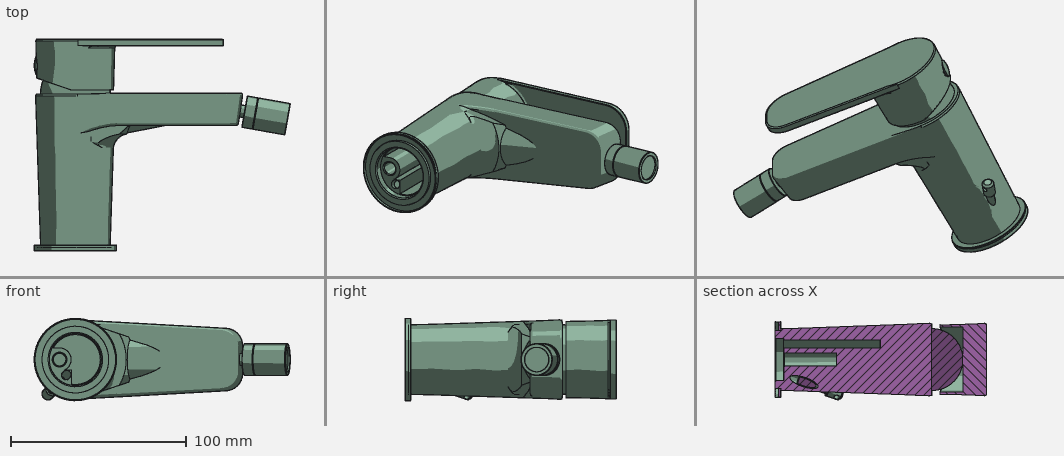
import cadquery as cq
import math


total_height = 120.6
reach = 122.45

ring_radius = 46.96 / 2
ring_height = 3.4
ring_edge = 0.3
spigot_radius = 19.0
ring_lip_radius = 22.9
ring_recess_depth = 2.0

column_base_radius = 19.9
column_top_radius = 22.7
column_top = 89.4
column_edge_height = 1.2
column_edge_inset = 0.4

spout_top = 89.9
spout_bottom = 71.4
spout_end = 95.5
spout_blank_half_width = 16.8
spout_end_tilt = 8.5
spout_corner_radius = 10.0
spout_top_edge = 1.2
spout_bottom_edge = 1.5
ramp_start = 6.0
ramp_end = 20.0
underside_root = (0.0, 64.3)
underside_mid = (11.0, 69.2)
underside_flat_x = 24.0

fillet_bottom = 57.5
fillet_outer_radius = 29.0
fillet_top = 66.5
web_outer_radius = 33.0
fillet_mid = (23.4, 63.0)
web_root_half_width = 20.0
web_root_x = 9.0
web_end_half_width = 12.0
web_corner_radius = 6.0
tongue_radius = 18.0
tongue_slope = 11.0
tongue_tip = 51.3

inlet_radius = 15.5
bore_radius = 14.8
bore_depth = 5.0
pocket_radius = 14.2
pocket_depth = 55.0
inlet_boss_x = -9.0
inlet_boss_radius = 6.6
inlet_hole_diameter = 7.2
inlet_hole_depth = 30.0
inlet_hole_chamfer = 0.6
lug_edge_x = -2.2
lug_edge_z = -6.0

dome_radius = 20.0
dome_top = 107.0

lever_top_radius = 22.6
lever_bottom_radius = 21.8
lever_bottom = 91.7
lever_back_bottom = 98.3
lever_cut_x = -2.4
lever_cavity_radius = 20.5
lever_edge_height = 1.1
lever_edge_inset = 0.4
blade_thickness = 3.9
blade_end = 84.5
blade_end_half_width = 17.3
blade_corner_radius = 14.0
blade_edge = 0.4
blade_web_radius = 1.0
blade_web_inset = 1.0

button_diameter = 10.0
button_height = 105.6
button_inner_x = -21.0
button_rim_x = -22.5
button_crown_x = -ring_radius

aerator_diameter = 18.2
aerator_tilt = 10.0
aerator_length = 25.0
collar_length = 6.3
aerator_edge = 0.3
nozzle_end_y = 75.0
nozzle_recess_diameter = 14.0
nozzle_recess_depth = 1.0
joint_diameter = 7.0
joint_socket_depth = 5.0
joint_gap = 2.5

rod_tip = (-16.2, 38.0, -20.2)
rod_direction = cq.Vector(-0.335, 1.0, -0.345)
rod_head_diameter = 6.8
rod_head_length = 9.0
rod_shaft_diameter = 4.5
rod_shaft_length = 18.0
rod_hole_diameter = 5.0
rod_tip_chamfer = 1.2
rod_eye_diameter = 3.0
rod_eye_offset = 3.2
rod_guide_length = 45.0

clearance_length = 60.0


def disc(radius, bottom, top, x=0.0):
    """Cylinder about an axis parallel to Y."""
    plane = cq.Workplane("XZ", origin=(x, bottom, 0))
    return plane.circle(radius).extrude(bottom - top)


def plan_plate(start_radius, end_x, end_half_width, bottom, top, draft=0.0):
    """Tapered plate whose sides leave a circle about the Y axis as tangents.

    The plan is true at the top; a draft narrows it toward the bottom.
    """
    distance = math.hypot(end_x, end_half_width)
    tangent_angle = math.atan2(end_half_width, end_x) + math.acos(start_radius / distance)
    start_x = start_radius * math.cos(tangent_angle)
    start_z = start_radius * math.sin(tangent_angle)
    return (
        cq.Workplane("XZ", origin=(0, top, 0))
        .moveTo(start_x, -start_z)
        .lineTo(end_x, -end_half_width)
        .lineTo(end_x, end_half_width)
        .lineTo(start_x, start_z)
        .close()
        .extrude(top - bottom, taper=draft)
    )


def make_base_ring():
    ring = disc(ring_radius, 0, ring_height).faces("<Y or >Y").edges().chamfer(ring_edge)
    recess = disc(ring_lip_radius, 0, ring_recess_depth)
    return ring.cut(recess).cut(disc(spigot_radius, 0, ring_height))


tilt = math.radians(aerator_tilt)
aerator_direction = cq.Vector(math.cos(tilt), -math.sin(tilt), 0)
nozzle_end_x = reach - (aerator_diameter / 2 - aerator_edge) * math.sin(tilt)
nozzle_end = cq.Vector(nozzle_end_x, nozzle_end_y, 0)
aerator_start = nozzle_end - aerator_direction * aerator_length


def aerator_cylinder(diameter, start, length):
    """Cylinder on the aerator axis; start is measured from the collar's rear face."""
    origin = aerator_start + aerator_direction * start
    plane = cq.Plane(origin=origin, xDir=(0, 0, 1), normal=aerator_direction)
    return cq.Workplane(plane).circle(diameter / 2).extrude(length)


def make_joint():
    length = 2 * joint_socket_depth + joint_gap
    return aerator_cylinder(joint_diameter, -joint_gap - joint_socket_depth, length)


def make_collar(joint):
    collar = aerator_cylinder(aerator_diameter, 0, collar_length).edges().chamfer(aerator_edge)
    return collar.cut(joint)


def make_nozzle():
    length = aerator_length - collar_length
    nozzle = aerator_cylinder(aerator_diameter, collar_length, length).edges().chamfer(aerator_edge)
    recess_start = aerator_length - nozzle_recess_depth
    return nozzle.cut(aerator_cylinder(nozzle_recess_diameter, recess_start, nozzle_recess_depth))


def rod_cylinder(diameter, length, start=0.0):
    """Cylinder on the rod axis; start is measured from the tip into the column."""
    inward = rod_direction.normalized() * -1
    plane = cq.Plane(origin=cq.Vector(*rod_tip) + inward * start, xDir=(1, 0, -1), normal=inward)
    return cq.Workplane(plane).circle(diameter / 2).extrude(length)


def make_rod():
    inward = rod_direction.normalized() * -1
    head = rod_cylinder(rod_head_diameter, rod_head_length)
    head = head.edges(cq.selectors.NearestToPointSelector(rod_tip)).chamfer(rod_tip_chamfer)
    shaft = rod_cylinder(rod_shaft_diameter, rod_shaft_length, rod_head_length)
    eye_center = cq.Vector(*rod_tip) + inward * rod_eye_offset
    eye_axis = inward.cross(cq.Vector(0, 1, 0)).normalized()
    eye_plane = cq.Plane(origin=eye_center, xDir=inward, normal=eye_axis)
    eye = cq.Workplane(eye_plane).circle(rod_eye_diameter / 2).extrude(rod_head_diameter, both=True)
    return head.union(shaft).cut(eye)


def make_column():
    return (
        cq.Workplane("XY")
        .lineTo(spigot_radius, 0)
        .lineTo(spigot_radius, ring_height)
        .lineTo(column_base_radius, ring_height)
        .lineTo(column_top_radius, column_top - column_edge_height)
        .lineTo(column_top_radius - column_edge_inset, column_top)
        .lineTo(0, column_top)
        .close()
        .revolve(360, (0, 0, 0), (0, 1, 0))
    )


def make_spout():
    draft = math.degrees(math.atan2(column_top_radius - column_base_radius, column_top - ring_height))
    plate = plan_plate(
        column_top_radius, spout_end + spout_corner_radius, spout_blank_half_width,
        underside_root[1], spout_top, draft,
    )
    end_bottom = spout_end - (spout_top - spout_bottom) * math.tan(math.radians(spout_end_tilt))
    side_profile = (
        cq.Workplane("XY")
        .moveTo(*underside_root)
        .threePointArc(underside_mid, (underside_flat_x, spout_bottom))
        .lineTo(end_bottom, spout_bottom)
        .lineTo(spout_end, spout_top)
        .lineTo(0, spout_top)
        .close()
        .extrude(clearance_length, both=True)
    )
    spout = plate.intersect(side_profile)
    corners = cq.selectors.BoxSelector(
        (end_bottom - 1, spout_bottom + 1, -clearance_length),
        (spout_end + 1, spout_top - 1, -1),
    ) + cq.selectors.BoxSelector(
        (end_bottom - 1, spout_bottom + 1, 1),
        (spout_end + 1, spout_top - 1, clearance_length),
    )
    spout = spout.edges(corners).fillet(spout_corner_radius)
    spout = spout.faces(cq.selectors.NearestToPointSelector((reach / 2, spout_bottom, 0)))
    spout = spout.edges("not <X").fillet(spout_bottom_edge)
    spout = spout.faces(">Y").edges("not <X").fillet(spout_top_edge)
    above_ramp = (
        cq.Workplane("XY")
        .moveTo(0, column_top)
        .lineTo(ramp_start, column_top)
        .lineTo(ramp_end, spout_top)
        .lineTo(0, spout_top)
        .close()
        .extrude(clearance_length, both=True)
    )
    return spout.cut(above_ramp)


def make_web():
    """Concave web round the column and the tongue that fades into the spout."""
    start_radius = column_base_radius + (column_top_radius - column_base_radius) * (
        fillet_bottom - ring_height
    ) / (column_top - ring_height)
    ring = (
        cq.Workplane("XY")
        .moveTo(0, fillet_bottom)
        .lineTo(start_radius, fillet_bottom)
        .threePointArc(fillet_mid, (fillet_outer_radius, fillet_top))
        .lineTo(web_outer_radius, spout_bottom)
        .lineTo(web_outer_radius, spout_bottom + spout_bottom_edge)
        .lineTo(0, spout_bottom + spout_bottom_edge)
        .close()
        .revolve(360, (0, 0, 0), (0, 1, 0))
    )
    slope = math.radians(tongue_slope)
    direction = cq.Vector(-math.cos(slope), -math.sin(slope), 0)
    axis_start = cq.Vector(tongue_tip, spout_bottom, 0)
    axis_start += cq.Vector(-math.sin(slope), math.cos(slope), 0) * tongue_radius
    tongue_plane = cq.Plane(origin=axis_start, xDir=(0, 0, 1), normal=direction)
    tongue = cq.Workplane(tongue_plane).circle(tongue_radius).extrude(tongue_tip)
    footprint = (
        cq.Workplane("XZ", origin=(0, fillet_bottom, 0))
        .moveTo(0, -web_root_half_width)
        .lineTo(web_root_x, -web_root_half_width)
        .lineTo(web_outer_radius, -web_end_half_width)
        .lineTo(web_outer_radius, web_end_half_width)
        .lineTo(web_root_x, web_root_half_width)
        .lineTo(0, web_root_half_width)
        .close()
        .extrude(fillet_bottom - spout_bottom - spout_bottom_edge)
    )
    footprint = footprint.faces("<Y").edges("not (<X or >X)").fillet(web_corner_radius)
    below_top = cq.Workplane("XZ", origin=(0, spout_bottom + spout_bottom_edge, 0))
    below_top = below_top.rect(2 * tongue_tip, 2 * tongue_radius).extrude(clearance_length)
    return ring.intersect(footprint).union(tongue.intersect(below_top))


def make_pocket():
    """Deep pocket in the column that leaves the inlet boss and the rod lug standing."""
    floor = bore_depth + pocket_depth
    pocket = disc(pocket_radius, bore_depth, floor)
    boss = disc(inlet_boss_radius, bore_depth, floor, inlet_boss_x)
    boss_bridge = make_lug(inlet_boss_x, inlet_boss_radius)
    lug = make_lug(lug_edge_x, lug_edge_z)
    return pocket.cut(boss).cut(boss_bridge).cut(lug)


def make_lug(edge_x, edge_z):
    """Block filling the pocket on the -X, -Z side of an edge in X and in Z."""
    return (
        cq.Workplane("XZ", origin=(0, bore_depth, 0))
        .moveTo(edge_x, edge_z)
        .lineTo(-pocket_radius, edge_z)
        .lineTo(-pocket_radius, -pocket_radius)
        .lineTo(edge_x, -pocket_radius)
        .close()
        .extrude(-pocket_depth)
    )


def make_body(joint):
    body = make_column().union(make_spout()).union(make_web())
    body = body.cut(disc(dome_radius, column_top, total_height))
    bore = disc(bore_radius, 0, bore_depth)
    lead_in = inlet_radius - bore_radius
    entry = disc(inlet_radius, 0, lead_in).faces(">Y").edges().chamfer(lead_in * 0.99)
    body = body.cut(bore).cut(entry).cut(make_pocket())
    hole_radius = inlet_hole_diameter / 2
    body = body.cut(disc(hole_radius, bore_depth, bore_depth + inlet_hole_depth, inlet_boss_x))
    mouth = cq.Solid.makeCone(
        hole_radius + inlet_hole_chamfer, hole_radius, inlet_hole_chamfer,
        pnt=(inlet_boss_x, bore_depth, 0), dir=(0, 1, 0),
    )
    body = body.cut(cq.Workplane(mouth))
    return body.cut(rod_cylinder(rod_hole_diameter, rod_guide_length)).cut(joint)


def make_dome():
    top_radius = math.sqrt(dome_radius**2 - (dome_top - column_top) ** 2)
    mid_angle = math.asin((dome_top - column_top) / dome_radius) / 2
    arc_middle = (
        dome_radius * math.cos(mid_angle),
        column_top + dome_radius * math.sin(mid_angle),
    )
    return (
        cq.Workplane("XY")
        .moveTo(0, column_top)
        .lineTo(dome_radius, column_top)
        .threePointArc(arc_middle, (top_radius, dome_top))
        .lineTo(0, dome_top)
        .close()
        .revolve(360, (0, 0, 0), (0, 1, 0))
    )


def crown_radius():
    """Radius of the shallow sphere on the outer face of the button."""
    rise = button_rim_x - button_crown_x
    return ((button_diameter / 2) ** 2 + rise**2) / (2 * rise)


def make_button():
    radius = button_diameter / 2
    return (
        cq.Workplane("XY", origin=(0, button_height, 0))
        .moveTo(button_inner_x, 0)
        .lineTo(button_inner_x, radius)
        .lineTo(button_rim_x, radius)
        .radiusArc((button_crown_x, 0), -crown_radius())
        .close()
        .revolve(360, (0, 0, 0), (1, 0, 0))
    )


def make_lever(button):
    head = (
        cq.Workplane("XY")
        .moveTo(0, lever_bottom)
        .lineTo(lever_bottom_radius, lever_bottom)
        .lineTo(lever_top_radius, total_height - lever_edge_height)
        .lineTo(lever_top_radius - lever_edge_inset, total_height)
        .lineTo(0, total_height)
        .close()
        .revolve(360, (0, 0, 0), (0, 1, 0))
    )
    blade_bottom = total_height - blade_thickness
    blade = plan_plate(lever_top_radius, blade_end, blade_end_half_width, blade_bottom, total_height)
    blade = blade.edges("|Y and >X").fillet(blade_corner_radius)
    blade = blade.faces("<Y").edges("not <X").chamfer(blade_edge)
    blade = blade.faces(">Y").edges("not <X").chamfer(lever_edge_inset, lever_edge_height)
    web_bottom = blade_bottom - blade_web_radius
    web_outer = lever_top_radius + blade_web_radius
    web = (
        cq.Workplane("XY")
        .moveTo(0, web_bottom)
        .lineTo(lever_top_radius, web_bottom)
        .radiusArc((web_outer, blade_bottom), blade_web_radius)
        .lineTo(web_outer, blade_bottom + blade_web_radius)
        .lineTo(0, blade_bottom + blade_web_radius)
        .close()
        .revolve(360, (0, 0, 0), (0, 1, 0))
    )
    web_outline = plan_plate(
        lever_top_radius - blade_web_inset, blade_end, blade_end_half_width, web_bottom, total_height
    )
    lever = head.union(blade).union(web.intersect(web_outline))
    back_relief = (
        cq.Workplane("XY")
        .moveTo(lever_cut_x, lever_bottom)
        .lineTo(-lever_bottom_radius, lever_back_bottom)
        .lineTo(-clearance_length, lever_back_bottom)
        .lineTo(-clearance_length, lever_bottom)
        .close()
        .extrude(clearance_length, both=True)
    )
    lever = lever.cut(back_relief)
    lever = lever.cut(disc(lever_cavity_radius, lever_bottom, dome_top))
    return lever.cut(button)


base_ring = make_base_ring()
joint = make_joint()
collar = make_collar(joint)
nozzle = make_nozzle()
rod = make_rod()
body = make_body(joint)
dome = make_dome()
button = make_button()
lever = make_lever(button)

result = cq.Compound.makeCompound([
    body.val(),
    base_ring.val(),
    dome.val(),
    lever.val(),
    button.val(),
    joint.val(),
    collar.val(),
    nozzle.val(),
    rod.val(),
])